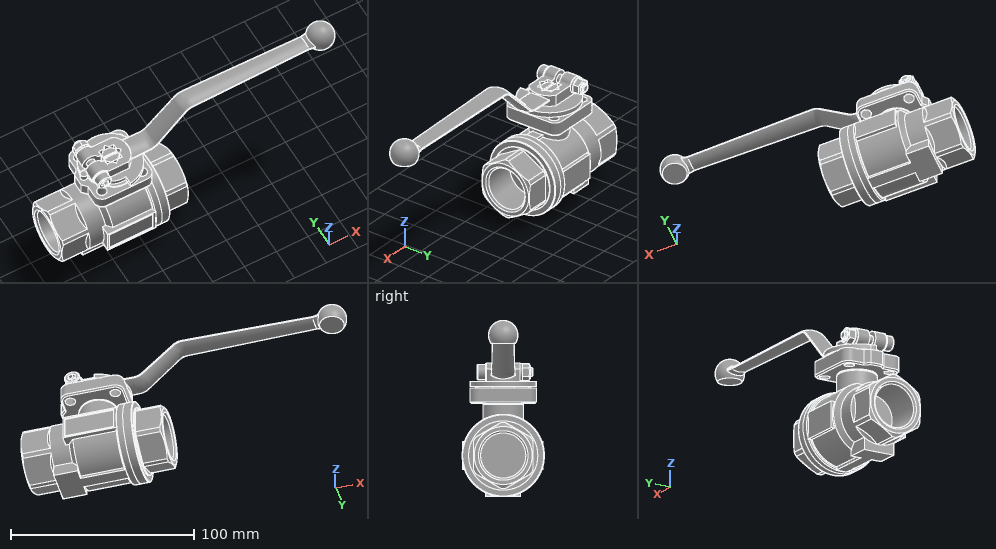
import cadquery as cq
import math


half_length = 40.0
hex_flats = 32.4
corner_radius = 18.0
end_chamfer_length = 1.0
end_chamfer_depth = 2.2
bore_dia = 24.7
bore_depth = 23.4
bore_mouth_dia = 27.0
bore_chamfer = (bore_mouth_dia - bore_dia) / 2

hex_end = -23.0
scallop_length = corner_radius - hex_flats / 2
collar_end = -12.5
body_radius = 20.9
body_start = collar_end + body_radius - corner_radius
flange_start = 15.3
flange_radius = 22.5
flange_chamfer = 0.7
joint_x = 19.6
flange_end = 24.7
cap_rim_chamfer = 0.4
cap_neck_end = 25.2
cap_neck_radius = 18.9

pad_end = flange_start + flange_chamfer
front_pad_start = -14.4
front_pad_reach = 22.1
pad_height = 15.3
pad_border = 1.0
pad_recess = 0.5
back_pad_start = -8.3
back_pad_reach = 21.6
foot_reach = 22.3
foot_width = 19.0
rib_width = 6.8

neck_radius = 11.2
neck_relief_radius = 10.8
neck_relief_height = 0.7
plate_bottom = 28.5
plate_top = 36.9
plate_length = 35.6
plate_width = 36.4
plate_corner_radius = 5.0
plate_chamfer = 0.9
plate_hole_dia = 5.5
plate_hole_circle = 36.0
bump_reach = 20.5
bump_tip_width = 7.2
bump_base_width = 13.0
seat_radius = 15.1
seat_flat_distance = 14.0
seat_height = 0.7
peg_dia = 4.0
peg_x = -16.7

disc_bottom = plate_top + seat_height
disc_top = 40.5
disc_radius = 18.2
disc_notch_radius = 13.3
notch_end_x = 2.2
notch_top_y = 2.2

stem_flats = 9.2
stem_corner_cut = 8.6
stem_shank_dia = 10.0
stem_bottom = 21.6
stem_top = 46.6
stem_slot_width = 1.0
stem_slot_depth = 0.9

hub_top = 47.2
hub_width = 18.4
hub_radius = 11.2
star_side = 9.4
lug_dia = 10.0
lug_x = -11.5
lug_z = disc_top + lug_dia / 2
barrel_fillet = 1.5
clamp_gap = 3.8

arm_start_x = 7.2
arm_low_z = 44.1
arm_high_z = 65.5
bend_low_x = 24.1
bend_high_x = 45.7
bend_radius = 7.0
arm_end_x = 122.2
arm_edge = 0.7
arm_root_width = 13.3
arm_root_thickness = 4.7
arm_tip_width = 9.4
arm_tip_thickness = 2.7
knob_radius = 8.1
knob_x = 180 - half_length - knob_radius
knob_z = 65.7
knob_flat_drop = 4.5
knob_neck_width = 11.2
knob_neck_thickness = 8.6
knob_neck_end_x = 126.9

screw_dia = 5.0
screw_end_y = 16.2
screw_collar_dia = 9.2
screw_collar_height = 0.5
screw_head_dia = 8.5
screw_head_height = 4.7
screw_chamfer = 0.5
socket_flats = 4.0
socket_depth = 2.5
nut_flats = 8.1
nut_collar_dia = 9.5
nut_collar_height = 1.5
nut_end_y = 14.8
nut_chamfer_depth = 1.3
nut_chamfer_length = 0.7


def box(x_range, y_range, z_range):
    """Axis-aligned box between the given limits."""
    sizes = [high - low for low, high in (x_range, y_range, z_range)]
    corner = (x_range[0], y_range[0], z_range[0])
    return cq.Workplane("XY").box(*sizes, centered=False).translate(corner)


def upright(radius, bottom, top):
    """Cylinder along Z on the stem axis."""
    return cq.Workplane("XY").workplane(offset=bottom).circle(radius).extrude(top - bottom)


def turned_about_x(points):
    """Solid of revolution about X from (x, radius) points; both ends close on the axis."""
    outline = [(points[0][0], 0)] + points + [(points[-1][0], 0)]
    return cq.Workplane("XY").polyline(outline).close().revolve(360, (0, 0, 0), (1, 0, 0))


def rod_along_y(x, z, radius, y_start, y_end):
    """Cylinder along Y between two Y positions."""
    plane = cq.Plane((x, y_start, z), xDir=(1, 0, 0), normal=(0, 1, 0))
    return cq.Workplane(plane).circle(radius).extrude(y_end - y_start)


def hex_along_y(flats, x, z, y_start, y_end):
    """Hexagonal prism along Y with two flats facing +X and -X."""
    plane = cq.Plane((x, y_start, z), xDir=(0, 0, 1), normal=(0, 1, 0))
    across_corners = flats / math.cos(math.pi / 6)
    return cq.Workplane(plane).polygon(6, across_corners).extrude(y_end - y_start)


def pipe_hex(inner_x):
    """Hexagonal end at -X with rounded corners, from the end face to inner_x."""
    across_corners = hex_flats / math.cos(math.pi / 6)
    length = inner_x + half_length
    plane = cq.Plane((-half_length, 0, 0), xDir=(0, 0, 1), normal=(1, 0, 0))
    prism = cq.Workplane(plane).polygon(6, across_corners).extrude(length)
    rounding = turned_about_x([
        (-half_length, corner_radius - end_chamfer_depth),
        (-half_length + end_chamfer_length, corner_radius),
        (inner_x, corner_radius),
    ])
    return prism.intersect(rounding)


def pipe_bore(depth):
    """Blind bore with a chamfered mouth, entering from the -X end."""
    return turned_about_x([
        (-half_length, bore_mouth_dia / 2),
        (-half_length + bore_chamfer, bore_dia / 2),
        (-half_length + depth, bore_dia / 2),
    ])


def valve_barrel():
    """Round part of the housing, from the hexagon to the joint."""
    return turned_about_x([
        (hex_end - scallop_length, hex_flats / 2),
        (hex_end, corner_radius),
        (collar_end, corner_radius),
        (body_start, body_radius),
        (flange_start, body_radius),
        (flange_start, flange_radius - flange_chamfer),
        (flange_start + flange_chamfer, flange_radius),
        (joint_x, flange_radius),
    ])


def side_pads():
    """Front pad with a shallow recess, back pad, the foot, and the top and bottom ribs."""
    half_height = pad_height / 2
    front = box((front_pad_start, pad_end), (-front_pad_reach, 0), (-half_height, half_height))
    recess = box(
        (front_pad_start + pad_border, flange_start - pad_border),
        (-front_pad_reach, -front_pad_reach + pad_recess),
        (-half_height + pad_border, half_height - pad_border),
    )
    back = box((back_pad_start, pad_end), (0, back_pad_reach), (-half_height, half_height))
    foot = box((hex_end, body_start), (-foot_width / 2, foot_width / 2), (-foot_reach, 0))
    half_rib = rib_width / 2
    ribs = box((body_start, pad_end), (-half_rib, half_rib), (-foot_reach, foot_reach))
    return front.cut(recess).union(back).union(foot).union(ribs)


def actuator_plate():
    """Plate with four holes, the bump at -X, the disc seat and the stop peg."""
    height = plate_top - plate_bottom
    square = cq.Workplane("XY").workplane(offset=plate_bottom).rect(plate_length, plate_width)
    plate = square.extrude(height).edges("|Z").fillet(plate_corner_radius)
    bump = (
        cq.Workplane("XY").workplane(offset=plate_bottom)
        .moveTo(0, -bump_base_width / 2)
        .lineTo(-plate_length / 2, -bump_base_width / 2)
        .lineTo(-bump_reach, -bump_tip_width / 2)
        .lineTo(-bump_reach, bump_tip_width / 2)
        .lineTo(-plate_length / 2, bump_base_width / 2)
        .lineTo(0, bump_base_width / 2)
        .close().extrude(height)
    )
    plate = plate.union(bump).faces("<Z").edges().chamfer(plate_chamfer)
    holes = (
        cq.Workplane("XY").workplane(offset=plate_bottom)
        .polarArray(plate_hole_circle / 2, 45, 360, 4)
        .circle(plate_hole_dia / 2).extrude(height)
    )
    seat_square = (
        cq.Workplane("XY").workplane(offset=plate_top)
        .transformed(rotate=(0, 0, 45))
        .rect(2 * seat_flat_distance, 2 * seat_flat_distance).extrude(seat_height)
    )
    seat = upright(seat_radius, plate_top, disc_bottom).intersect(seat_square)
    peg = upright(peg_dia / 2, plate_top, disc_top).translate((peg_x, 0, 0))
    return plate.cut(holes).union(seat).union(peg)


def make_housing():
    body = pipe_hex(hex_end).union(valve_barrel()).union(side_pads())
    relief_bottom = plate_bottom - neck_relief_height
    neck = upright(neck_radius, 0, relief_bottom)
    neck = neck.union(upright(neck_relief_radius, relief_bottom, plate_bottom))
    body = body.union(neck).union(actuator_plate())
    stem_hole = upright(stem_shank_dia / 2, stem_bottom, disc_bottom)
    return body.cut(pipe_bore(bore_depth)).cut(stem_hole)


def make_end_cap():
    flange = turned_about_x([
        (joint_x, flange_radius),
        (flange_end - cap_rim_chamfer, flange_radius),
        (flange_end, flange_radius - cap_rim_chamfer),
        (flange_end, cap_neck_radius),
        (cap_neck_end, cap_neck_radius),
    ])
    end_hex = pipe_hex(-joint_x).mirror("YZ")
    bore = pipe_bore(half_length - joint_x).mirror("YZ")
    return flange.union(end_hex).cut(bore)


def stem_square(bottom, top):
    """Square stem section turned by 45 degrees, with its corners cut off."""
    turned = (
        cq.Workplane("XY").workplane(offset=bottom).transformed(rotate=(0, 0, 45))
        .rect(stem_flats, stem_flats).extrude(top - bottom)
    )
    half = stem_corner_cut / 2
    return turned.intersect(box((-half, half), (-half, half), (bottom, top)))


def make_stem():
    shank = upright(stem_shank_dia / 2, stem_bottom, disc_bottom)
    half = stem_slot_width / 2
    slot = box((-stem_flats, stem_flats), (-half, half), (stem_top - stem_slot_depth, stem_top))
    return shank.union(stem_square(disc_bottom, stem_top)).cut(slot)


def make_stop_disc():
    """Disc on the seat, notched around the peg to limit the turn to a quarter."""
    disc = upright(disc_radius, disc_bottom, disc_top)
    quarter = box((-disc_radius, notch_end_x), (-disc_radius, notch_top_y), (disc_bottom, disc_top))
    notch = quarter.cut(upright(disc_notch_radius, disc_bottom, disc_top))
    return disc.cut(notch).cut(stem_square(disc_bottom, disc_top))


def clamp_hub():
    """Flat-sided round hub joined to the clamp barrel along Y."""
    half = hub_width / 2
    flat_sides = box((-hub_radius, hub_radius), (-half, half), (disc_top, hub_top))
    hub = upright(hub_radius, disc_top, hub_top).intersect(flat_sides)
    bridge = box((lug_x, 0), (-half, half), (disc_top, hub_top))
    barrel = rod_along_y(lug_x, lug_z, lug_dia / 2, -half, half)
    body = hub.union(bridge).union(barrel)
    barrel_edge_x = lug_x + math.sqrt((lug_dia / 2) ** 2 - (hub_top - lug_z) ** 2)
    barrel_edge = cq.selectors.NearestToPointSelector((barrel_edge_x, 0, hub_top))
    return body.edges(barrel_edge).fillet(barrel_fillet)


def hub_openings():
    """Star-shaped stem hole, clamp gap and screw hole."""
    half = star_side / 2
    square = box((-half, half), (-half, half), (disc_top, hub_top))
    star = square.union(square.rotate((0, 0, 0), (0, 0, 1), 45))
    gap = box(
        (lug_x - lug_dia, -half),
        (-clamp_gap / 2, clamp_gap / 2),
        (lug_z - lug_dia, lug_z + lug_dia),
    )
    screw_hole = rod_along_y(lug_x, lug_z, screw_dia / 2, -hub_width, hub_width)
    return star.union(gap).union(screw_hole)


def lens(x, z, width, thickness):
    """Lens-shaped section across the arm: crowned top and bottom, narrow flat sides."""
    half = width / 2
    edge = arm_edge / 2
    plane = cq.Plane((x, 0, z), xDir=(0, 1, 0), normal=(1, 0, 0))
    return (
        cq.Workplane(plane).moveTo(-half, -edge)
        .threePointArc((0, -thickness / 2), (half, -edge))
        .lineTo(half, edge)
        .threePointArc((0, thickness / 2), (-half, edge))
        .close().wire().val()
    )


def lever_arm():
    """Doubly bent arm that tapers evenly from the hub to the knob."""
    rise = math.atan2(arm_high_z - arm_low_z, bend_high_x - bend_low_x)
    tangent = bend_radius * math.tan(rise / 2)
    sag = bend_radius * (1 - math.cos(rise / 2))
    mid_run = bend_radius * math.sin(rise / 2)
    slope_x = tangent * math.cos(rise)
    slope_z = tangent * math.sin(rise)
    path = (
        cq.Workplane("XZ").moveTo(arm_start_x, arm_low_z)
        .lineTo(bend_low_x - tangent, arm_low_z)
        .threePointArc(
            (bend_low_x - tangent + mid_run, arm_low_z + sag),
            (bend_low_x + slope_x, arm_low_z + slope_z),
        )
        .lineTo(bend_high_x - slope_x, arm_high_z - slope_z)
        .threePointArc(
            (bend_high_x + tangent - mid_run, arm_high_z - sag),
            (bend_high_x + tangent, arm_high_z),
        )
        .lineTo(arm_end_x, arm_high_z)
    )
    root = lens(arm_start_x, arm_low_z, arm_root_width, arm_root_thickness)
    tip = lens(arm_end_x, arm_high_z, arm_tip_width, arm_tip_thickness)
    return cq.Workplane("XY").add(root).add(tip).toPending().sweep(path, multisection=True)


def knob():
    """Ball with a flat underside and a flared neck toward the arm."""
    ball = cq.Workplane("XY").sphere(knob_radius).translate((knob_x, 0, knob_z))
    below = box(
        (knob_x - knob_radius, knob_x + knob_radius),
        (-knob_radius, knob_radius),
        (knob_z - knob_radius, knob_z - knob_flat_drop),
    )
    narrow = lens(arm_end_x, arm_high_z, arm_tip_width, arm_tip_thickness)
    wide = lens(knob_neck_end_x, arm_high_z, knob_neck_width, knob_neck_thickness)
    neck = cq.Workplane(cq.Solid.makeLoft([narrow, wide], True))
    return ball.cut(below).union(neck)


def make_lever():
    return clamp_hub().union(lever_arm()).cut(hub_openings()).union(knob())


def make_screw():
    collar_start = -hub_width / 2
    head_start = collar_start - screw_collar_height
    head_end = head_start - screw_head_height
    shank = rod_along_y(lug_x, lug_z, screw_dia / 2, collar_start, screw_end_y)
    shank = shank.faces(">Y").chamfer(screw_chamfer)
    collar = rod_along_y(lug_x, lug_z, screw_collar_dia / 2, head_start, collar_start)
    head = rod_along_y(lug_x, lug_z, screw_head_dia / 2, head_end, head_start)
    head = head.faces("<Y").chamfer(screw_chamfer)
    socket = hex_along_y(socket_flats, lug_x, lug_z, head_end, head_end + socket_depth)
    return shank.union(collar).union(head).cut(socket)


def make_nut():
    start = hub_width / 2
    collar_end_y = start + nut_collar_height
    collar = rod_along_y(lug_x, lug_z, nut_collar_dia / 2, start, collar_end_y)
    prism = hex_along_y(nut_flats, lug_x, lug_z, start, nut_end_y)
    corner_reach = nut_flats / 2 / math.cos(math.pi / 6)
    rounding = rod_along_y(lug_x, lug_z, corner_reach, start, nut_end_y)
    rounding = rounding.faces(">Y").chamfer(nut_chamfer_length, nut_chamfer_depth)
    hole = rod_along_y(lug_x, lug_z, screw_dia / 2, start, nut_end_y)
    return collar.union(prism.intersect(rounding)).cut(hole)


housing = make_housing()
end_cap = make_end_cap()
stem = make_stem()
stop_disc = make_stop_disc()
lever = make_lever()
screw = make_screw()
nut = make_nut()

result = cq.Compound.makeCompound([
    housing.solids().val(),
    end_cap.solids().val(),
    stem.solids().val(),
    stop_disc.solids().val(),
    lever.solids().val(),
    screw.solids().val(),
    nut.solids().val(),
])